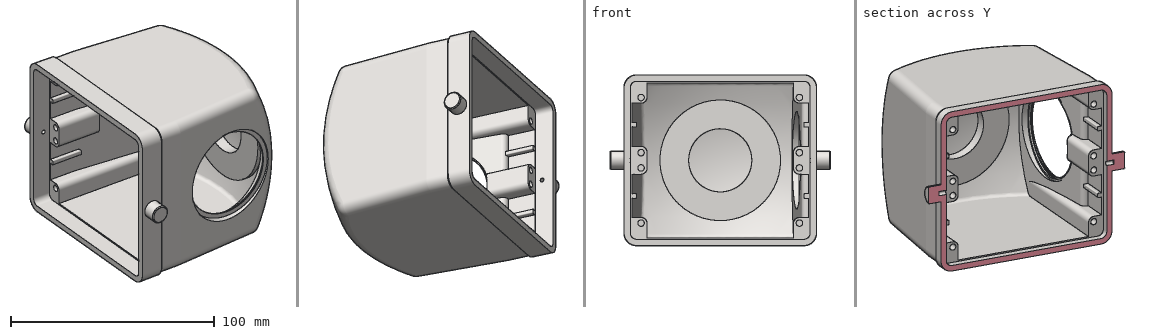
import cadquery as cq
import math


total_length_y = 92.75
pin_span_x = 108.35

wall = 2.9
neck_half_x = 46.1
neck_half_z = 40.95
draft_start_y = 24.0
side_draft_angle = 5.0
side_draft = math.tan(math.radians(side_draft_angle))
dome_radius = 95.0
edge_radius = 5.25

flange_lip = 1.0
flange_depth = 12.6
flange_half_x = 47.3
flange_half_z = neck_half_z + flange_lip
flange_draft = 0.5
recess_depth = 9.5
recess_wall = 3.2
recess_radius = 3.0

pad_start_y = draft_start_y
pad_thickness = 2.95
pad_round = 2.7
entry_y = 56.0
entry_steps = [(23.9, 1.1), (22.9, 2.1), (22.2, 2.8)]
entry_outer_radius = 24.5

post_inner_x = 35.9
post_radius = 3.0
middle_post_half_z = 6.85
middle_post_end_y = 34.0
corner_post_inner_z = 28.0
screw_x = 38.85
screw_z = [3.75, 30.8]
screw_diameter = 3.2
screw_depth = 12.0
rib_z = 17.5
rib_width = 2.3
rib_tip_x = 41.0
rib_tip_radius = 0.5

pin_diameter = 9.1
pin_y = 6.0
pin_root_x = flange_half_x - recess_wall
pin_chamfer = 0.5
pin_bore_diameter = 2.0
pin_bore_depth = 4.0

ring_outer_radius = 29.6
ring_inner_radius = 15.5
ring_face_y = 82.5


def box_between(x, y, z):
    """Box between the (low, high) limits on each axis."""
    size = [high - low for low, high in (x, y, z)]
    middle = [(high + low) / 2 for low, high in (x, y, z)]
    return cq.Workplane("XY").box(*size).translate(tuple(middle))


def dome_ball(inset):
    """Ball whose +Y side is the domed end, moved inward by inset."""
    return cq.Workplane("XY").sphere(dome_radius - inset).translate((0, total_length_y - dome_radius, 0))


def side_x(inset, y):
    """Distance of the drafted side wall from the middle plane at y."""
    return neck_half_x - inset - side_draft * (y - draft_start_y)


def tapered_block(inset, start_y):
    """Neck with drafted sides and a domed end, moved inward by inset, with rounded edges."""
    straight_x = neck_half_x - inset
    end_x = side_x(inset, total_length_y)
    profile = (
        cq.Workplane("XY")
        .moveTo(-straight_x, start_y)
        .lineTo(straight_x, start_y)
        .lineTo(straight_x, draft_start_y)
        .lineTo(end_x, total_length_y)
        .lineTo(-end_x, total_length_y)
        .lineTo(-straight_x, draft_start_y)
        .close()
    )
    block = profile.extrude(neck_half_z - inset, both=True).intersect(dome_ball(inset))
    return block.edges("not(|Z or |X)").fillet(edge_radius - inset)


def flange():
    """Collar round the mouth, slightly narrowing toward +Y."""
    body = (
        cq.Workplane("XZ")
        .rect(2 * flange_half_x, 2 * flange_half_z)
        .extrude(-flange_depth, taper=flange_draft)
    )
    body = body.edges("not(|X or |Z)").fillet(edge_radius + flange_lip)
    return body.faces(">Y").edges().chamfer(flange_lip)


def mouth_recess():
    half_x = flange_half_x - recess_wall
    half_z = flange_half_z - recess_wall
    body = box_between((-half_x, half_x), (0, recess_depth), (-half_z, half_z))
    return body.edges("|Y").fillet(recess_radius)


def cable_pad():
    """Extra wall on the +X side, with a rounded edge where it starts behind the mouth."""
    pad_inset = wall + pad_thickness
    pad = (
        cq.Workplane("XY")
        .moveTo(flange_half_x, pad_start_y)
        .lineTo(side_x(pad_inset, pad_start_y), pad_start_y)
        .lineTo(side_x(pad_inset, total_length_y), total_length_y)
        .lineTo(flange_half_x, total_length_y)
        .close()
        .extrude(neck_half_z, both=True)
    )
    return pad.edges("|Z and <Y").edges("<X").fillet(pad_round)


def posts_and_ribs():
    """Middle post, two corner posts and two guide ribs of the +X side wall."""
    shapes = cq.Workplane("XY")
    x_range = (post_inner_x, neck_half_x)
    post = box_between(x_range, (recess_depth, middle_post_end_y), (-middle_post_half_z, middle_post_half_z))
    shapes = shapes.add(post.edges("|Y and <X").fillet(post_radius))
    for side in (-1, 1):
        z_range = sorted((side * corner_post_inner_z, side * neck_half_z))
        corner = box_between(x_range, (recess_depth, total_length_y), z_range)
        inner_edge = "<Z" if side > 0 else ">Z"
        shapes = shapes.add(corner.edges("|Y and <X").edges(inner_edge).fillet(post_radius))
        rib = box_between(
            (rib_tip_x, neck_half_x),
            (recess_depth, pad_start_y + pad_round),
            (side * rib_z - rib_width / 2, side * rib_z + rib_width / 2),
        )
        shapes = shapes.add(rib.edges("|Y and <X").fillet(rib_tip_radius))
    return shapes.combine()


def screw_holes():
    points = [(x_side * screw_x, z_side * z) for x_side in (-1, 1) for z_side in (-1, 1) for z in screw_z]
    return (
        cq.Workplane("XZ", origin=(0, recess_depth, 0))
        .pushPoints(points)
        .circle(screw_diameter / 2)
        .extrude(-screw_depth)
    )


def pin():
    return (
        cq.Workplane("YZ", origin=(pin_root_x, pin_y, 0))
        .circle(pin_diameter / 2)
        .extrude(pin_span_x / 2 - pin_root_x)
        .faces(">X")
        .chamfer(pin_chamfer)
    )


def pin_bore():
    """Small blind bore in the root of the pin, open to the inside of the hood."""
    root = cq.Workplane("YZ", origin=(pin_root_x, pin_y, 0))
    return root.circle(pin_bore_diameter / 2).extrude(pin_bore_depth)


def cable_entry():
    """Stepped round hole through the +X wall, narrowing from inside and opened wider from outside."""
    inner_x = side_x(wall + pad_thickness, entry_y)
    hole = cq.Workplane("XY")
    for radius, depth in entry_steps:
        start_x = side_x(wall + pad_thickness, entry_y + radius)
        hole = hole.add(entry_disc(radius, start_x, inner_x + depth))
    hole = hole.add(entry_disc(entry_outer_radius, inner_x + depth, flange_half_x))
    return hole.combine()


def entry_disc(radius, start_x, end_x):
    return cq.Workplane("YZ", origin=(start_x, entry_y, 0)).circle(radius).extrude(end_x - start_x)


def both_sides(shape):
    return shape.union(shape.mirror("YZ"))


def build_housing():
    shell = tapered_block(0, 0).union(flange()).cut(mouth_recess())
    inside = tapered_block(wall, recess_depth).cut(cable_pad())
    fittings = both_sides(posts_and_ribs())
    body = shell.cut(inside.cut(fittings))
    body = body.union(both_sides(pin())).cut(both_sides(pin_bore()))
    return body.cut(screw_holes()).cut(cable_entry())


def build_ring():
    """Flat-faced ring that rests with its back against the inside of the dome."""
    blank = (
        cq.Workplane("XZ", origin=(0, ring_face_y, 0))
        .circle(ring_outer_radius)
        .circle(ring_inner_radius)
        .extrude(ring_face_y - total_length_y)
    )
    return blank.intersect(dome_ball(wall))


housing = build_housing()
sealing_ring = build_ring()

result = cq.Compound.makeCompound([housing.val(), sealing_ring.val()])